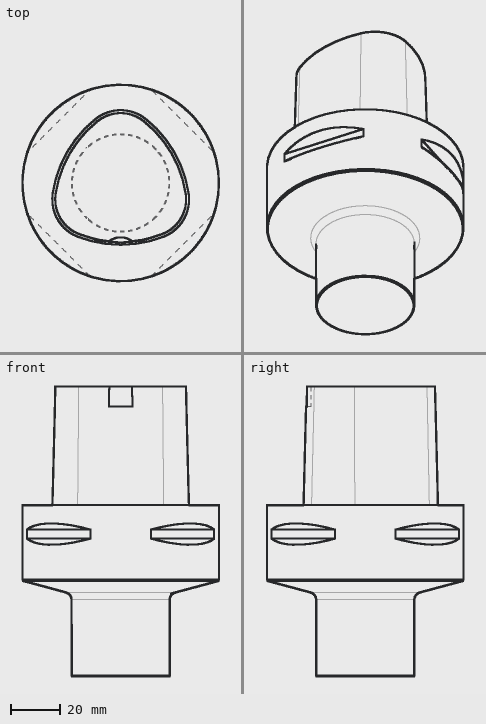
import cadquery as cq
import math

total_height = 118.0
flange_top = 69.7
flange_bottom = 38.8

flange_radius = 40.0
shank_radius = flange_radius / 2
cone_angle = 15.0
flange_chamfer = 0.7
flange_chamfer_width = 0.4
shank_chamfer = 0.4
neck_fillet = 3.0

lobe_reach = 29.6
flank_reach = 25.1
lobe_radius = 16.3
taper_per_height = 1 / 40

groove_count = 4
groove_height = 57.9
groove_floor_distance = 35.6
groove_floor_width = 3.7
groove_side_angle = 30.0

keyway_radius = 7.3
keyway_inner_distance = 22.1
keyway_depth = 8.3


def polar_point(distance, degrees):
    angle = math.radians(degrees)
    return (distance * math.cos(angle), distance * math.sin(angle))


def make_body():
    cone_drop = (flange_radius - flange_chamfer_width - shank_radius) * math.tan(math.radians(cone_angle))
    neck_height = flange_bottom - cone_drop
    profile = (
        cq.Workplane("XZ")
        .moveTo(0, 0)
        .lineTo(shank_radius - shank_chamfer, 0)
        .lineTo(shank_radius, shank_chamfer)
        .lineTo(shank_radius, neck_height)
        .lineTo(flange_radius - flange_chamfer_width, flange_bottom)
        .lineTo(flange_radius, flange_bottom + flange_chamfer)
        .lineTo(flange_radius, flange_top)
        .lineTo(0, flange_top)
        .close()
    )
    body = profile.revolve(360, (0, 0, 0), (0, 1, 0))
    neck_edge = cq.selectors.BoxSelector(
        (-1.2, -1.2, neck_height - 0.1), (1.2, 1.2, neck_height + 0.1), boundingbox=False
    )
    return body.edges(neck_edge).fillet(neck_fillet)


def polygon_outline(inset):
    """Closed outline of tangent lobe and flank arcs, moved inward by inset."""
    lobe_offset = lobe_reach - lobe_radius
    reach_difference = flank_reach - lobe_radius
    flank_offset = (lobe_offset**2 - reach_difference**2) / (2 * reach_difference - lobe_offset)
    join_x = lobe_offset * math.cos(math.radians(60)) + flank_offset
    join_y = lobe_offset * math.sin(math.radians(60))
    flank_radius = flank_offset + flank_reach - inset
    join_angle = math.atan2(join_y, join_x)
    end_x = flank_radius * math.cos(join_angle) - flank_offset
    end_y = flank_radius * math.sin(join_angle)
    joint_distance = math.hypot(end_x, end_y)
    joint_angle = 60 - math.degrees(math.atan2(end_y, end_x))

    outline = cq.Workplane("XY").moveTo(*polar_point(joint_distance, 90 - joint_angle))
    for lobe_angle in (90, 210, 330):
        outline = outline.threePointArc(
            polar_point(lobe_reach - inset, lobe_angle),
            polar_point(joint_distance, lobe_angle + joint_angle),
        ).threePointArc(
            polar_point(flank_reach - inset, lobe_angle + 60),
            polar_point(joint_distance, lobe_angle + 120 - joint_angle),
        )
    return outline.close().val()


def make_polygon():
    height = total_height - flange_top
    base = polygon_outline(0).moved(cq.Location(cq.Vector(0, 0, flange_top)))
    top = polygon_outline(height * taper_per_height).moved(cq.Location(cq.Vector(0, 0, total_height)))
    return cq.Workplane(obj=cq.Solid.makeLoft([base, top], True))


def make_groove():
    """Cutter with a flat floor and flaring sides, running along Y."""
    outer_distance = flange_radius + 1.2
    floor_half = groove_floor_width / 2
    flare = (outer_distance - groove_floor_distance) * math.tan(math.radians(groove_side_angle))
    outer_half = floor_half + flare
    return (
        cq.Workplane("XZ")
        .polyline(
            [
                (groove_floor_distance, groove_height - floor_half),
                (outer_distance, groove_height - outer_half),
                (outer_distance, groove_height + outer_half),
                (groove_floor_distance, groove_height + floor_half),
            ]
        )
        .close()
        .extrude(flange_radius, both=True)
    )


def make_keyway():
    return (
        cq.Workplane("XY", origin=(0, 0, total_height - keyway_depth))
        .center(0, -keyway_inner_distance - keyway_radius)
        .circle(keyway_radius)
        .extrude(keyway_depth)
    )


result = make_body().union(make_polygon()).cut(make_keyway())
groove = make_groove()
for index in range(groove_count):
    groove_angle = (index + 0.5) * 360 / groove_count
    result = result.cut(groove.rotate((0, 0, 0), (0, 0, 1), groove_angle))